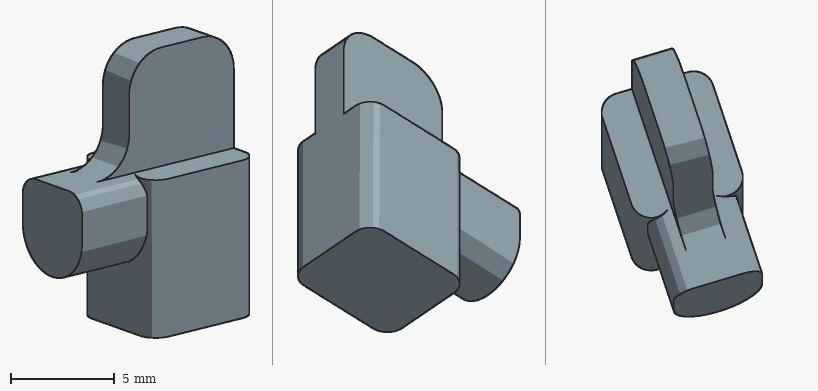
import cadquery as cq

body_width = 5.6
body_depth = 6.6
body_height = 8.0
corner_radius = 1.0

total_height = 14.0
fin_thickness = 2.0
fin_radius = 2.0

total_depth = 10.6
peg_width = 4.5
peg_length = total_depth - body_depth
peg_radius = peg_width / 2
peg_height = 4.65


def make_body():
    block = cq.Workplane("XY").box(body_width, body_depth, body_height, centered=(True, False, False))
    return block.edges("|Z").fillet(corner_radius)


def make_shoulder_relief(side):
    """Sliver above the peg's rounded edge where the body corner keeps curving past the front face."""
    outer_x = body_width / 2 - corner_radius
    inner_x = peg_width / 2 - corner_radius
    base_z = body_height - corner_radius
    block = cq.Workplane("XY").box(outer_x - inner_x, corner_radius, corner_radius, centered=(True, False, False))
    block = block.translate((side * (outer_x + inner_x) / 2, 0, base_z))
    corner = (
        cq.Workplane("XY", origin=(side * outer_x, corner_radius, base_z))
        .circle(corner_radius)
        .extrude(corner_radius)
    )
    return block.cut(corner)


def make_peg():
    """Bar with a half-round underside; it runs back into the body past the rounded corners."""
    overlap = body_depth / 2
    arc_center_z = body_height - peg_height + peg_radius
    bar = (
        cq.Workplane("XZ", origin=(0, overlap, 0))
        .moveTo(-peg_radius, body_height)
        .lineTo(-peg_radius, arc_center_z)
        .threePointArc((0, body_height - peg_height), (peg_radius, arc_center_z))
        .lineTo(peg_radius, body_height)
        .close()
        .extrude(overlap + peg_length)
    )
    return bar.edges("|Y and >Z").fillet(corner_radius)


def make_fin():
    """Tab with rounded top corners and a concave foot blending onto the peg."""
    bend = fin_radius * 0.5 ** 0.5
    foot_center_z = body_height + fin_radius
    root_z = body_height - corner_radius
    return (
        cq.Workplane("YZ", origin=(-fin_thickness / 2, 0, 0))
        .moveTo(body_depth, root_z)
        .lineTo(body_depth, total_height - fin_radius)
        .threePointArc(
            (body_depth - fin_radius + bend, total_height - fin_radius + bend),
            (body_depth - fin_radius, total_height),
        )
        .lineTo(fin_radius, total_height)
        .threePointArc(
            (fin_radius - bend, total_height - fin_radius + bend),
            (0, total_height - fin_radius),
        )
        .lineTo(0, foot_center_z)
        .threePointArc(
            (-fin_radius + bend, foot_center_z - bend),
            (-fin_radius, body_height),
        )
        .lineTo(-fin_radius, root_z)
        .close()
        .extrude(fin_thickness)
    )


body = make_body()
for side in (-1, 1):
    body = body.cut(make_shoulder_relief(side))

result = body.union(make_peg()).union(make_fin()).clean()